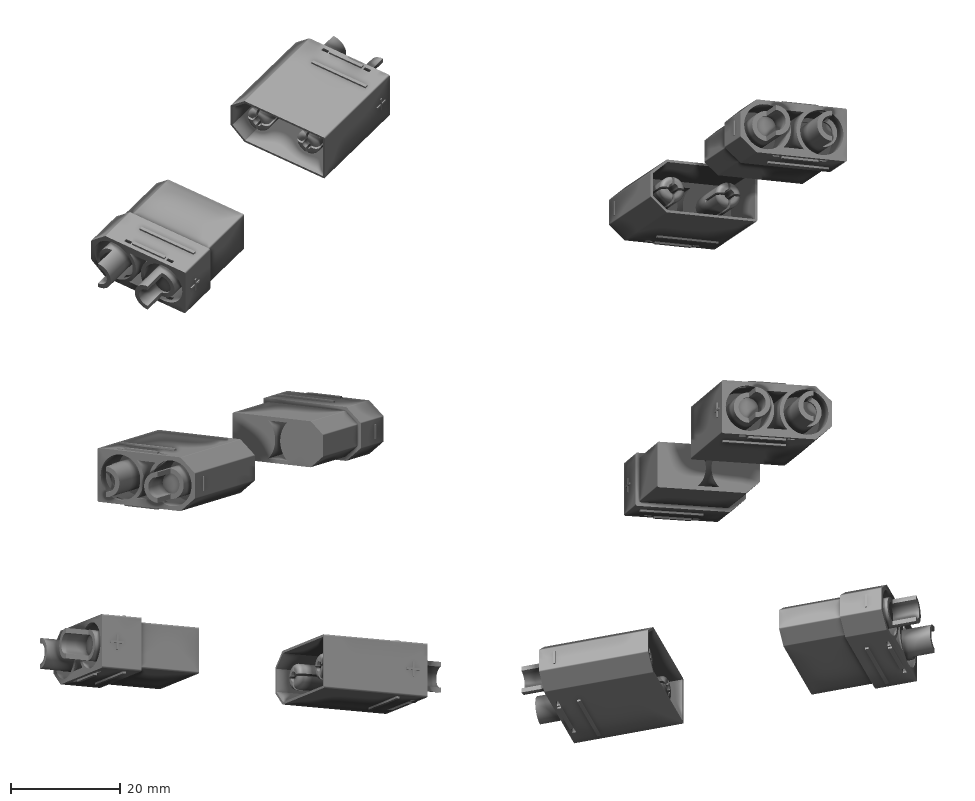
import cadquery as cq

TOTAL_LENGTH = 76.0
TOTAL_WIDTH = 21.4
TOTAL_HEIGHT = 10.8

BODY_WIDTH = 21.0
BODY_HEIGHT = 10.0
KEY_CUT_X = 3.1
KEY_CUT_Z = 2.65
EDGE_RADIUS = 0.3

SIDES = (-1, 1)
CONTACT_PITCH = 11.0
CONTACT_X = CONTACT_PITCH / 2

CUP_DIAMETER = 5.7
CUP_BORE = 3.9
CUP_BORE_EXTRA = 0.45
CUP_LENGTH = 5.0
COLLAR_LENGTH = 0.45

WELL_DIAMETER = 8.5
WELL_DEPTH = 6.1
WELL_WALL = 0.72
WINDOW_HEIGHT = 7.1

SOCKET_LENGTH = 21.0
SOCKET_WALL = 0.45
CAVITY_DEPTH = 12.0

PLUG_BASE_LENGTH = 8.0
NOSE_LENGTH = 12.0
NOSE_STEP = 0.72

PIN_DIAMETER = 4.9
PIN_BORE = 2.0
PIN_TIP_RADIUS = 0.9
PIN_TIP_SETBACK = 1.3
PIN_SLOT_WIDTH = 0.45
PIN_SLOT_LENGTH = 6.1

RIB_HEIGHT = (TOTAL_HEIGHT - BODY_HEIGHT) / 2
LONG_RIB_LENGTH = 12.0
LONG_RIB_WIDTH = 0.6
LONG_RIB_X = 2.9
LONG_RIB_SETBACK = 5.25
SHORT_RIB_LENGTH = 7.15

ROW_WIDTH = 0.7
ROW_X = 1.6
ROW_SETBACK = 1.15
SLOT_LENGTH = 1.4
SLOT_GAP = 0.4

MARK_HEIGHT = (TOTAL_WIDTH - BODY_WIDTH) / 2
MARK_LENGTH = 2.7
MARK_WIDTH = 0.4
MARK_SETBACK = 3.0

WELL_BAR_LENGTH = 3.2
WELL_BAR_WIDTH = 0.3
WELL_BAR_HEIGHT = 0.3
WELL_BAR_Z = 3.4

CUP_TIP = TOTAL_LENGTH / 2
CABLE_FACE = CUP_TIP - CUP_LENGTH
COLLAR_END = CABLE_FACE + COLLAR_LENGTH
WELL_FLOOR = CABLE_FACE - WELL_DEPTH
SOCKET_MOUTH = CABLE_FACE - SOCKET_LENGTH
CAVITY_FLOOR = SOCKET_MOUTH + CAVITY_DEPTH
PIN_TIP = SOCKET_MOUTH + PIN_TIP_SETBACK
NOSE_ROOT = CABLE_FACE - PLUG_BASE_LENGTH
NOSE_TIP = NOSE_ROOT - NOSE_LENGTH


def box(size, center):
    return cq.Workplane("XY").box(*size).translate(center)


def rod(diameter, x, y_start, y_end):
    """Cylinder along Y."""
    base = cq.Workplane("XZ", origin=(x, y_start, 0))
    return base.circle(diameter / 2).extrude(y_start - y_end)


def keyed_prism(inset, y_start, y_end):
    """Sharp-edged prism along Y with the housing's cross-section, shrunk by inset all round."""
    right = BODY_WIDTH / 2
    top = BODY_HEIGHT / 2
    outline = (
        cq.Workplane("XZ", origin=(0, y_start, 0))
        .moveTo(right, -top)
        .lineTo(right, top)
        .lineTo(KEY_CUT_X - right, top)
        .lineTo(-right, top - KEY_CUT_Z)
        .lineTo(-right, KEY_CUT_Z - top)
        .lineTo(KEY_CUT_X - right, -top)
        .close()
    )
    if inset > 0:
        outline = outline.offset2D(-inset, "intersection")
    return outline.extrude(y_start - y_end)


def rounded_prism(inset, y_start, y_end):
    return keyed_prism(inset, y_start, y_end).edges("|Y").fillet(EDGE_RADIUS)


def window(y_start, y_end):
    """Opening between the two wells, bounded by their round walls."""
    size = (CONTACT_PITCH, abs(y_end - y_start), WINDOW_HEIGHT)
    opening = box(size, (0, (y_start + y_end) / 2, 0))
    for side in SIDES:
        opening = opening.cut(rod(WELL_DIAMETER + 2 * WELL_WALL, side * CONTACT_X, y_start, y_end))
    return opening


def cut_wells(housing, end):
    for side in SIDES:
        housing = housing.cut(rod(WELL_DIAMETER, side * CONTACT_X, end * WELL_FLOOR, end * CABLE_FACE))
    return housing


def add_grip_ribs(housing, end):
    """A long and a short rib, on the top and bottom faces."""
    ribs = (
        (LONG_RIB_LENGTH, LONG_RIB_WIDTH, LONG_RIB_X, LONG_RIB_SETBACK),
        (SHORT_RIB_LENGTH, ROW_WIDTH, ROW_X, ROW_SETBACK),
    )
    for length, width, x, setback in ribs:
        y = end * (CABLE_FACE - setback)
        for z in (-BODY_HEIGHT / 2, BODY_HEIGHT / 2):
            housing = housing.union(box((length, width, 2 * RIB_HEIGHT), (x, y, z)))
    return housing


def cut_wall_slots(housing, end):
    """Slots through the top and bottom walls into the wells, in line with the short rib."""
    inner = CUP_DIAMETER / 2
    outer = BODY_HEIGHT / 2
    spacing = (SHORT_RIB_LENGTH + SLOT_LENGTH) / 2 + SLOT_GAP
    y = end * (CABLE_FACE - ROW_SETBACK)
    for side in SIDES:
        for face in (-1, 1):
            center = (ROW_X + side * spacing, y, face * (inner + outer) / 2)
            housing = housing.cut(box((SLOT_LENGTH, ROW_WIDTH, outer - inner), center))
    return housing


def add_polarity_marks(housing, end):
    x = BODY_WIDTH / 2
    y = end * (CABLE_FACE - MARK_SETBACK)
    upright = (2 * MARK_HEIGHT, MARK_WIDTH, MARK_LENGTH)
    crossbar = (2 * MARK_HEIGHT, MARK_LENGTH, MARK_WIDTH)
    minus = box(upright, (-x, y, 0))
    plus = box(upright, (x, y, 0)).union(box(crossbar, (x, y, 0)))
    return housing.union(minus).union(plus)


def make_socket_housing():
    housing = rounded_prism(0, SOCKET_MOUTH, CABLE_FACE)
    housing = housing.cut(keyed_prism(SOCKET_WALL, SOCKET_MOUTH, CAVITY_FLOOR))
    housing = housing.cut(window(CAVITY_FLOOR, CABLE_FACE))
    housing = cut_wells(housing, 1)
    for side in SIDES:
        housing = housing.cut(rod(PIN_DIAMETER, side * CONTACT_X, CAVITY_FLOOR, WELL_FLOOR))
    housing = add_grip_ribs(housing, 1)
    housing = cut_wall_slots(housing, 1)
    return add_polarity_marks(housing, 1)


def make_plug_housing():
    base = rounded_prism(0, -CABLE_FACE, -NOSE_ROOT)
    nose = rounded_prism(NOSE_STEP, -NOSE_ROOT, -NOSE_TIP)
    housing = base.union(nose).cut(window(-CABLE_FACE, -NOSE_TIP))
    housing = cut_wells(housing, -1)
    bar_size = (WELL_BAR_LENGTH, 2 * WELL_BAR_HEIGHT, WELL_BAR_WIDTH)
    housing = housing.union(box(bar_size, (CONTACT_X, -WELL_FLOOR, WELL_BAR_Z)))
    housing = add_grip_ribs(housing, -1)
    housing = cut_wall_slots(housing, -1)
    return add_polarity_marks(housing, -1)


def make_solder_cup(side, end):
    """Cup standing on the well floor, its bore laid open on the outer side beyond the collar."""
    x = side * CONTACT_X
    cup = rod(CUP_DIAMETER, x, end * WELL_FLOOR, end * CUP_TIP)
    cup = cup.cut(rod(CUP_BORE, x, end * (COLLAR_END - CUP_BORE_EXTRA), end * CUP_TIP))
    outer_half = box(
        (CUP_DIAMETER, CUP_TIP - COLLAR_END, CUP_DIAMETER),
        (x + side * CUP_DIAMETER / 2, end * (COLLAR_END + CUP_TIP) / 2, 0),
    )
    return cup.cut(outer_half)


def make_socket_contact(side):
    """Solder cup with a round-nosed pin, bored and split crosswise at the tip."""
    x = side * CONTACT_X
    pin = rod(PIN_DIAMETER, x, PIN_TIP, WELL_FLOOR).faces("<Y").edges().fillet(PIN_TIP_RADIUS)
    slot_end = PIN_TIP + PIN_SLOT_LENGTH
    slot_center = (x, PIN_TIP + PIN_SLOT_LENGTH / 2, 0)
    pin = pin.cut(rod(PIN_BORE, x, PIN_TIP, slot_end))
    pin = pin.cut(box((PIN_DIAMETER, PIN_SLOT_LENGTH, PIN_SLOT_WIDTH), slot_center))
    pin = pin.cut(box((PIN_SLOT_WIDTH, PIN_SLOT_LENGTH, PIN_DIAMETER), slot_center))
    return make_solder_cup(side, 1).union(pin)


socket_housing = make_socket_housing()
plug_housing = make_plug_housing()
socket_contacts = [make_socket_contact(side) for side in SIDES]
plug_contacts = [make_solder_cup(side, -1) for side in SIDES]

result = cq.Compound.makeCompound([
    socket_housing.val(),
    plug_housing.val(),
    *[contact.val() for contact in socket_contacts],
    *[contact.val() for contact in plug_contacts],
])